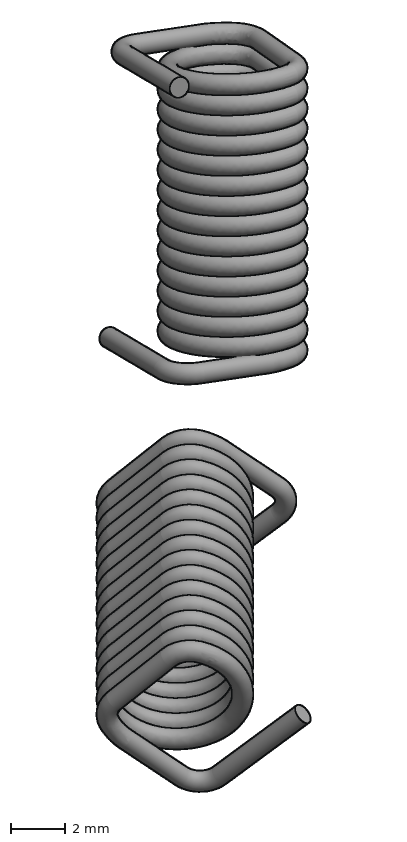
import cadquery as cq
import math

HEIGHT = 12.04
WIDTH = 5.94
DEPTH = 6.25
WIRE_DIAMETER = 0.8
FULL_TURNS = 14

FLAT_HALF_LENGTH = 1.45
FLAT_OUTER_Y = 1.99

LEG_BEND_RADIUS = 1.0
LEG_END_X = 2.89

JOINING_TOLERANCE = 0.001

wire_radius = WIRE_DIAMETER / 2
coil_radius = WIDTH / 2 - wire_radius
flat_y = FLAT_OUTER_Y - wire_radius
leg_y = FLAT_OUTER_Y - DEPTH + wire_radius
bottom_z = wire_radius
top_z = HEIGHT - wire_radius

corner_radius = (coil_radius**2 - FLAT_HALF_LENGTH**2 - flat_y**2) / (2 * (coil_radius - flat_y))
corner_y = flat_y - corner_radius
side_angle = math.degrees(math.atan2(corner_y, FLAT_HALF_LENGTH))
corner_angle = 90 - side_angle

side_length = math.radians(side_angle) * coil_radius
front_length = math.pi * coil_radius + 2 * side_length
back_length = 2 * math.radians(corner_angle) * corner_radius + 2 * FLAT_HALF_LENGTH
coil_length = FULL_TURNS * (front_length + back_length) + back_length + 2 * side_length
slope = (top_z - bottom_z) / coil_length


def rising_arc(center_x, center_y, radius, start_angle, sweep_angle, z):
    """Counter-clockwise helical arc starting at height z; returns its edge and end height."""
    rise = math.radians(sweep_angle) * radius * slope
    helix = cq.Wire.makeHelix(rise * 360 / sweep_angle, rise, radius)
    turned = helix.rotate(cq.Vector(0, 0, 0), cq.Vector(0, 0, 1), start_angle)
    return turned.translate(cq.Vector(center_x, center_y, z)).Edges()[0], z + rise


def rising_back(z):
    """Right corner, flat and left corner starting at height z; returns their edges and end height."""
    right_corner, z = rising_arc(FLAT_HALF_LENGTH, corner_y, corner_radius, side_angle, corner_angle, z)
    flat_end_z = z + 2 * FLAT_HALF_LENGTH * slope
    flat = cq.Edge.makeLine(
        cq.Vector(FLAT_HALF_LENGTH, flat_y, z),
        cq.Vector(-FLAT_HALF_LENGTH, flat_y, flat_end_z),
    )
    left_corner, z = rising_arc(-FLAT_HALF_LENGTH, corner_y, corner_radius, 90, corner_angle, flat_end_z)
    return [right_corner, flat, left_corner], z


def coil_edges(z):
    """Coil from the bottom leg at +X to the top leg at -X, counter-clockwise upward."""
    first_side, z = rising_arc(0, 0, coil_radius, 0, side_angle, z)
    first_back, z = rising_back(z)
    edges = [first_side] + first_back
    left_corner_end = 180 - side_angle
    for _ in range(FULL_TURNS):
        front, z = rising_arc(0, 0, coil_radius, left_corner_end, 180 + 2 * side_angle, z)
        back, z = rising_back(z)
        edges += [front] + back
    last_side, z = rising_arc(0, 0, coil_radius, left_corner_end, side_angle, z)
    return edges + [last_side]


def leg_edges(side, z):
    """Level leg from the free end to the coil; side is +1 at +X and -1 at -X."""
    bend_x = coil_radius - LEG_BEND_RADIUS
    bend_start_y = leg_y + LEG_BEND_RADIUS
    diagonal = LEG_BEND_RADIUS * math.sqrt(0.5)
    free_end = cq.Vector(-side * LEG_END_X, leg_y, z)
    bend_front = cq.Vector(side * bend_x, leg_y, z)
    bend_middle = cq.Vector(side * (bend_x + diagonal), bend_start_y - diagonal, z)
    bend_side = cq.Vector(side * coil_radius, bend_start_y, z)
    coil_start = cq.Vector(side * coil_radius, 0, z)
    return [
        cq.Edge.makeLine(free_end, bend_front),
        cq.Edge.makeThreePointArc(bend_front, bend_middle, bend_side),
        cq.Edge.makeLine(bend_side, coil_start),
    ]


bottom_leg = leg_edges(1, bottom_z)
top_leg = leg_edges(-1, top_z)
centreline = cq.Wire.combine(bottom_leg + coil_edges(bottom_z) + top_leg, JOINING_TOLERANCE)[0]

result = (
    cq.Workplane("YZ", origin=(-LEG_END_X, leg_y, bottom_z))
    .circle(wire_radius)
    .sweep(cq.Workplane(obj=centreline), transition="transformed", isFrenet=True)
)